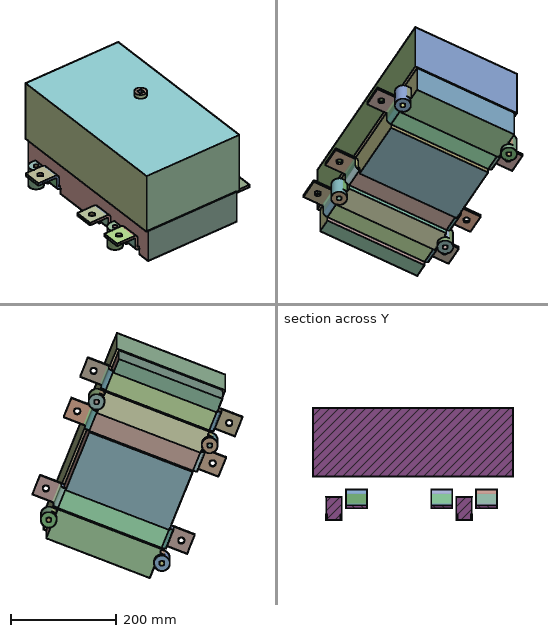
import cadquery as cq

UPPER_LENGTH = 381.0
UPPER_WIDTH = 222.0
UPPER_BOTTOM = 83.0
UPPER_TOP = 213.7
BASE_LENGTH = 377.0
BASE_WIDTH = 212.2
BASE_BOTTOM = 11.0

FOOT_DIAMETER = 30.5
FOOT_TOP = 44.5
FOOT_HOLE_DIAMETER = 9.5
FOOT_X_MIDDLE = -26.5
FOOT_X_SPACING = 248.0
FOOT_Y = 116.0

TERMINAL_X_POSITIONS = (-107.5, 55.0, 140.0)
TERMINAL_WIDTH = 40.5
TERMINAL_THICKNESS = 6.0
TERMINAL_BOTTOM = 22.5
TERMINAL_TOP = 58.5
TERMINAL_REACH = 158.5
TERMINAL_INNER_RADIUS = 3.0
TERMINAL_HOLE_DIAMETER = 12.0
TERMINAL_HOLE_Y = 138.5

SHAFT_DIAMETER = 24.5
SHAFT_TOP = 222.5
SHAFT_X = FOOT_X_MIDDLE
SHAFT_Y = 40.0
SOCKET_SIDE = 10.0

SIGNS = (-1, 1)


def block(length, width, bottom, top):
    """Rectangular block centred in X and Y between two heights."""
    return cq.Workplane("XY").workplane(offset=bottom).rect(length, width).extrude(top - bottom)


def foot(x, side):
    """Round post whose part above the base's bottom is joined to the base wall by a flat-sided web."""
    post = cq.Workplane("XY").center(x, side * FOOT_Y).circle(FOOT_DIAMETER / 2).extrude(FOOT_TOP)
    web = (
        cq.Workplane("XY")
        .workplane(offset=BASE_BOTTOM)
        .center(x, side * FOOT_Y / 2)
        .rect(FOOT_DIAMETER, FOOT_Y)
        .extrude(FOOT_TOP - BASE_BOTTOM)
    )
    return post.union(web)


def foot_hole(x, side):
    """Bolt hole down the axis of a foot."""
    return cq.Workplane("XY").center(x, side * FOOT_Y).circle(FOOT_HOLE_DIAMETER / 2).extrude(FOOT_TOP)


def channel(x):
    """Passage across the underside of the base, beneath one pair of terminals."""
    return block(TERMINAL_WIDTH, BASE_WIDTH, BASE_BOTTOM, TERMINAL_BOTTOM).translate((x, 0, 0))


def make_housing():
    upper = block(UPPER_LENGTH, UPPER_WIDTH, UPPER_BOTTOM, UPPER_TOP)
    body = block(BASE_LENGTH, BASE_WIDTH, BASE_BOTTOM, UPPER_BOTTOM).union(upper)
    foot_places = [
        (FOOT_X_MIDDLE + end * FOOT_X_SPACING / 2, side) for end in SIGNS for side in SIGNS
    ]
    for x, side in foot_places:
        body = body.union(foot(x, side))
    for x, side in foot_places:
        body = body.cut(foot_hole(x, side))
    for x in TERMINAL_X_POSITIONS:
        body = body.cut(channel(x))
    return body


def make_terminal(x, side):
    """Strap that leaves the +Y wall, rises and turns outward; mirrored for the -Y wall."""
    wall = BASE_WIDTH / 2
    inner_radius = TERMINAL_INNER_RADIUS
    outer_radius = inner_radius + TERMINAL_THICKNESS
    riser_inside = wall + inner_radius
    riser_outside = riser_inside + TERMINAL_THICKNESS
    leg_top = TERMINAL_BOTTOM + TERMINAL_THICKNESS
    tab_bottom = TERMINAL_TOP - TERMINAL_THICKNESS
    lower_bend_end = leg_top + inner_radius
    upper_bend_start = tab_bottom - inner_radius
    tab_start = riser_outside + inner_radius
    strap = (
        cq.Workplane("YZ")
        .moveTo(wall, TERMINAL_BOTTOM)
        .radiusArc((riser_outside, lower_bend_end), -outer_radius)
        .lineTo(riser_outside, upper_bend_start)
        .radiusArc((tab_start, tab_bottom), inner_radius)
        .lineTo(TERMINAL_REACH, tab_bottom)
        .lineTo(TERMINAL_REACH, TERMINAL_TOP)
        .lineTo(tab_start, TERMINAL_TOP)
        .radiusArc((riser_inside, upper_bend_start), -outer_radius)
        .lineTo(riser_inside, lower_bend_end)
        .radiusArc((wall, leg_top), inner_radius)
        .close()
        .extrude(TERMINAL_WIDTH / 2, both=True)
    )
    hole = (
        cq.Workplane("XY")
        .workplane(offset=tab_bottom)
        .center(0, TERMINAL_HOLE_Y)
        .circle(TERMINAL_HOLE_DIAMETER / 2)
        .extrude(TERMINAL_THICKNESS)
    )
    strap = strap.cut(hole)
    if side < 0:
        strap = strap.mirror("XZ")
    return strap.translate((x, 0, 0))


def make_shaft():
    """Round collar on the top face, with the square socket running through it."""
    return (
        cq.Workplane("XY")
        .workplane(offset=UPPER_TOP)
        .center(SHAFT_X, SHAFT_Y)
        .circle(SHAFT_DIAMETER / 2)
        .rect(SOCKET_SIDE, SOCKET_SIDE)
        .extrude(SHAFT_TOP - UPPER_TOP)
    )


housing = make_housing()
shaft = make_shaft()
terminals = [make_terminal(x, side) for x in TERMINAL_X_POSITIONS for side in SIGNS]

result = cq.Compound.makeCompound(
    [housing.val(), shaft.val(), *[terminal.val() for terminal in terminals]]
)